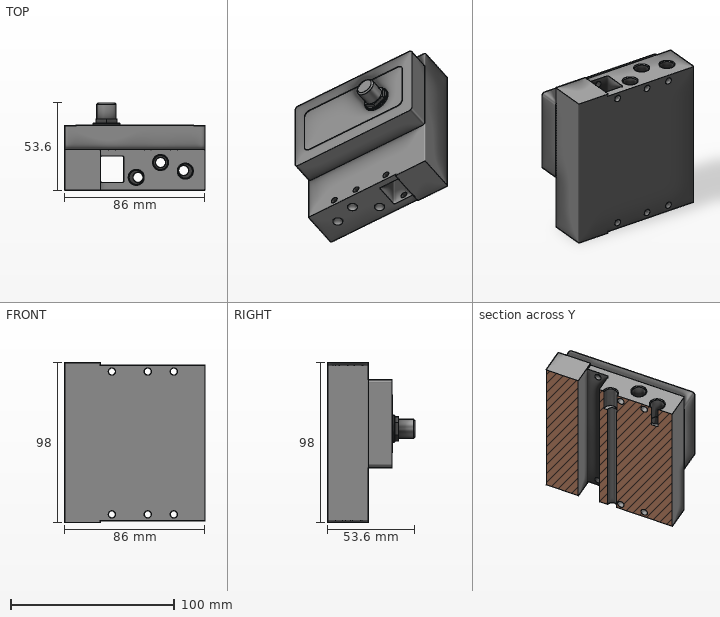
import cadquery as cq

block_width = 86.0
block_depth = 25.0
block_height = 98.0
edge_radius = 0.6

step_x = 22.05
top_step = 1.5
bottom_step = 1.0
body_top = block_height - top_step
body_height = body_top - bottom_step

duct_width = 14.2
duct_y_start = 4.9
duct_y_end = 21.0
duct_radius = 0.8

mount_diameter = 4.2
mount_x_positions = (29.0, 51.0, 66.9)
mount_inset = 4.0

port_diameter = 8.6
port_rim_diameter = 9.8
port_depth = 14.7
channel_diameter = 6.1
ports = (
    (43.9, 7.9, 1.1, 0.0),
    (58.8, 17.1, 0.0, 0.0),
    (74.0, 11.8, -1.1, 0.4),
)

cover_depth = 14.6
cover_height = 54.0
cover_base_z = 33.5
cover_radius = 2.3
label_width = 72.0
label_height = 35.3
label_thickness = 0.3
label_radius = 3.9

overall_depth = 53.6
connector_x = 25.7
connector_z = 57.4
collar_diameter = 16.7
collar_thickness = 1.5
collar_chamfer = 0.5
hex_corner_diameter = 15.1
hex_thickness = 2.3
plug_diameter = 12.0
plug_chamfer = 1.0

cover_front = block_depth + cover_depth


def upright_box(x, y, z, width, depth, height, corner_radius):
    """Box with its lowest corner at (x, y, z) and rounded vertical edges."""
    box = cq.Workplane("XY").box(width, depth, height, centered=False)
    return box.edges("|Z").fillet(corner_radius).translate((x, y, z))


def front_plate(y, center_z, width, height, depth, corner_radius):
    """Plate centred on the block width, growing toward +Y from the given Y."""
    plate = cq.Workplane("XY").box(width, depth, height).edges("|Y").fillet(corner_radius)
    return plate.translate((block_width / 2, y + depth / 2, center_z))


def connector_plane(y):
    """Workplane on the connector axis whose normal points toward +Y."""
    plane = cq.Plane(origin=(connector_x, y, connector_z), xDir=(0, 0, 1), normal=(0, 1, 0))
    return cq.Workplane(plane)


def make_block():
    end_section = upright_box(0, 0, 0, step_x, block_depth, block_height, edge_radius)
    body = upright_box(0, 0, bottom_step, block_width, block_depth, body_height, edge_radius)
    return body.union(end_section)


def make_duct():
    duct_depth = duct_y_end - duct_y_start
    return upright_box(step_x, duct_y_start, 0, duct_width, duct_depth, block_height, duct_radius)


def make_mount_holes():
    lower_z = bottom_step + mount_inset
    upper_z = body_top - mount_inset
    points = [(x, z) for x in mount_x_positions for z in (lower_z, upper_z)]
    return cq.Workplane("XZ").pushPoints(points).circle(mount_diameter / 2).extrude(-block_depth)


def make_port(x, y, offset_x, offset_y):
    """Chamfered blind port with a channel running on through the block."""
    rim_chamfer = (port_rim_diameter - port_diameter) / 2
    face = cq.Workplane("XY", origin=(x, y, body_top))
    bore = face.circle(port_diameter / 2).extrude(-port_depth)
    rim = face.circle(port_rim_diameter / 2).workplane(offset=-rim_chamfer)
    rim = rim.circle(port_diameter / 2).loft(ruled=True)
    channel = face.center(offset_x, offset_y).circle(channel_diameter / 2).extrude(-body_height)
    return bore.union(rim).union(channel)


def make_connector():
    hex_base = cover_front + label_thickness + collar_thickness
    plug_base = hex_base + hex_thickness
    collar = connector_plane(cover_front).circle(collar_diameter / 2).extrude(hex_base - cover_front)
    collar = collar.faces(">Y").chamfer(collar_chamfer)
    nut = connector_plane(hex_base).polygon(6, hex_corner_diameter).extrude(hex_thickness)
    plug = connector_plane(plug_base).circle(plug_diameter / 2).extrude(overall_depth - plug_base)
    plug = plug.faces(">Y").chamfer(plug_chamfer)
    return collar.union(nut).union(plug)


block = make_block().cut(make_duct()).cut(make_mount_holes())
for port in ports:
    block = block.cut(make_port(*port))

cover_center_z = cover_base_z + cover_height / 2
cover = front_plate(block_depth, cover_center_z, block_width, cover_height, cover_depth, cover_radius)
label = front_plate(cover_front, cover_center_z, label_width, label_height, label_thickness, label_radius)

result = block.union(cover).union(label).union(make_connector())